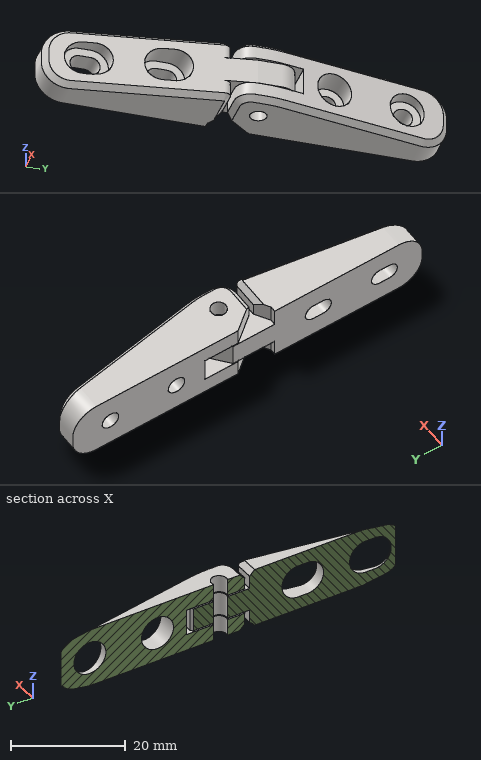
import cadquery as cq
import math

total_length = 74.0
thickness = 11.0
width = 12.0
fork_leaf_length = 35.0
tongue_leaf_length = total_length - fork_leaf_length
end_corner_radius = 5.0
edge_chamfer = 1.0
pivot_x = 6.0
pivot_diameter = 3.0
hole_diameter = 3.5
counterbore_diameter = 6.5
counterbore_floor = 4.0
hole_end_distance = 8.0
hole_spacing = 14.0
relief_x = 4.0
half_width = width / 2
holes_per_leaf = 2

fork_tip_thickness = 5.2
fork_taper_start = 1.8
fork_taper_radius = 20.0
fork_bottom = -5.0
knuckle_radius = 3.0
fork_slot_width = 5.1
fork_slot_end = 7.0

tongue_tip_thickness = 5.1
shoulder_y = -6.0
shoulder_back_y = -7.8
shoulder_back_x = 1.1
tongue_width = 4.7
tongue_end = 6.0
tongue_bevel_start = 1.0
tongue_bevel_depth = pivot_x
slot_travel = 2.0
shoulder_corner_radius = 1.1
tongue_height = 10.8

taper_slope = (thickness - tongue_tip_thickness) / tongue_leaf_length


def extrude_plan(sketch, height):
    """Extrude an XY outline symmetrically about Z = 0."""
    return sketch.close().extrude(height / 2, both=True)


def round_plan_corner(leaf, x, y, radius):
    """Round the Z edge that passes through the point (x, y)."""
    corner = cq.selectors.NearestToPointSelector((x, y, 0))
    return leaf.edges("|Z").edges(corner).fillet(radius)


def round_end(leaf, end_selector):
    """Round the two corners of a leaf's free end."""
    return leaf.faces(end_selector).edges("|X").fillet(end_corner_radius)


def chamfer_outer_rim(leaf):
    """Chamfer the rim of the outer side, leaving the mounting side and relief edges sharp."""
    rim = []
    for edge in leaf.edges().vals():
        center = edge.Center()
        on_body = -tongue_leaf_length + end_corner_radius < center.y < fork_leaf_length - end_corner_radius
        crosses_side = on_body and abs(center.z) < half_width / 2
        if center.x > relief_x and not crosses_side:
            rim.append(edge)
    return leaf.newObject(rim).chamfer(edge_chamfer)


def pivot_hole():
    """Cutter for the pin hole through both leaves along Z."""
    return cq.Workplane("XY").center(pivot_x, 0).circle(pivot_diameter / 2).extrude(half_width, both=True)


def make_fork_leaf():
    outline = (
        cq.Workplane("XY")
        .moveTo(0, 0)
        .lineTo(relief_x, fork_bottom)
        .lineTo(thickness, fork_bottom)
        .lineTo(thickness, fork_taper_start)
        .lineTo(fork_tip_thickness, fork_leaf_length)
        .lineTo(0, fork_leaf_length)
    )
    leaf = extrude_plan(outline, width)
    leaf = round_plan_corner(leaf, thickness, fork_bottom, knuckle_radius)
    leaf = round_plan_corner(leaf, thickness, fork_taper_start, fork_taper_radius)
    leaf = chamfer_outer_rim(round_end(leaf, ">Y"))

    slot = cq.Workplane("XY").box(
        thickness, fork_slot_end - fork_bottom, fork_slot_width, centered=(False, False, True)
    ).translate((0, fork_bottom, 0))
    leaf = leaf.cut(slot).cut(pivot_hole())

    for index in range(holes_per_leaf):
        hole_y = fork_leaf_length - hole_end_distance - index * hole_spacing
        plane = cq.Workplane("YZ").center(hole_y, 0)
        hole = plane.circle(hole_diameter / 2).extrude(thickness)
        counterbore = (
            plane.workplane(offset=counterbore_floor)
            .circle(counterbore_diameter / 2)
            .extrude(thickness)
        )
        leaf = leaf.cut(hole).cut(counterbore)
    return leaf


def make_tongue_leaf():
    shoulder_x = thickness + taper_slope * shoulder_y
    outline = (
        cq.Workplane("XY")
        .moveTo(0, shoulder_back_y)
        .lineTo(shoulder_back_x, shoulder_back_y)
        .lineTo(relief_x, shoulder_y)
        .lineTo(shoulder_x, shoulder_y)
        .lineTo(tongue_tip_thickness, -tongue_leaf_length)
        .lineTo(0, -tongue_leaf_length)
    )
    leaf = extrude_plan(outline, width)
    leaf = round_plan_corner(leaf, shoulder_x, shoulder_y, shoulder_corner_radius)
    leaf = chamfer_outer_rim(round_end(leaf, "<Y"))

    root_y = shoulder_back_y - edge_chamfer
    corner_y = tongue_end - knuckle_radius
    arc_center_x = tongue_height - knuckle_radius
    arc_reach = knuckle_radius * math.sqrt(0.5)
    tongue_outline = (
        cq.Workplane("XY")
        .moveTo(0, root_y)
        .lineTo(thickness + taper_slope * root_y, root_y)
        .lineTo(tongue_height, (tongue_height - thickness) / taper_slope)
        .lineTo(tongue_height, corner_y)
        .threePointArc((arc_center_x + arc_reach, corner_y + arc_reach), (arc_center_x, tongue_end))
        .lineTo(tongue_bevel_depth, tongue_end)
        .lineTo(0, tongue_bevel_start)
    )
    leaf = leaf.union(extrude_plan(tongue_outline, tongue_width)).cut(pivot_hole())

    for index in range(holes_per_leaf):
        hole_y = -tongue_leaf_length + hole_end_distance + index * hole_spacing
        plane = cq.Workplane("YZ").center(hole_y, 0)
        hole = plane.slot2D(slot_travel + hole_diameter, hole_diameter).extrude(thickness)
        counterbore = (
            plane.workplane(offset=counterbore_floor)
            .slot2D(slot_travel + counterbore_diameter, counterbore_diameter)
            .extrude(thickness)
        )
        leaf = leaf.cut(hole).cut(counterbore)
    return leaf


fork_leaf = make_fork_leaf()
tongue_leaf = make_tongue_leaf()

result = cq.Compound.makeCompound([fork_leaf.val(), tongue_leaf.val()])